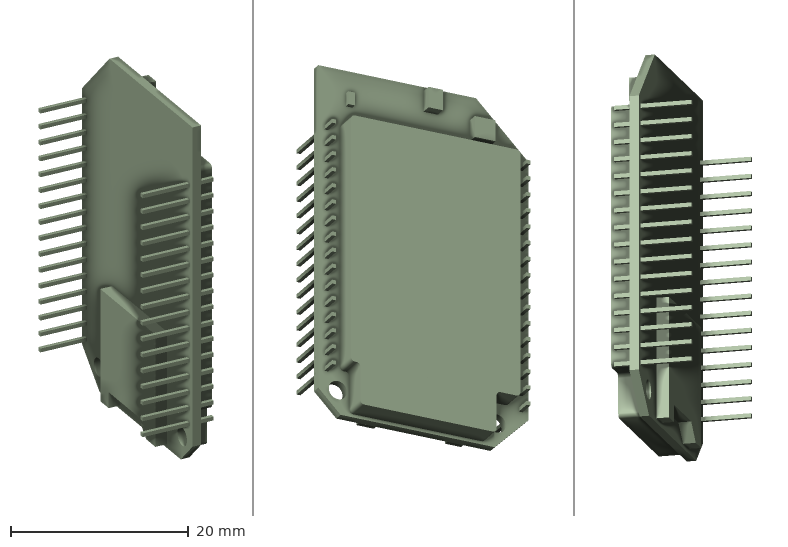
import cadquery as cq

BOARD_WIDTH = 26.4
BOARD_HEIGHT = 42.9
BOARD_THICKNESS = 1.1
BOARD_BACK = BOARD_THICKNESS
TOP_LEFT_CUT = 6.6
BOTTOM_LEFT_CUT = 4.25
BOTTOM_RIGHT_CUT = 2.8

HOLE_DIAMETER = 2.25
HOLE_Z = 3.0
LEFT_HOLE_X = 4.0
RIGHT_HOLE_X = BOARD_WIDTH - 2.45

PIN_SIZE = 0.48
PIN_PITCH = 2.0
PINS_PER_ROW = 16
PIN_EDGE_OFFSET = 1.0
LOWEST_PIN_Z = 5.3
PIN_FRONT_LENGTH = 5.95
PIN_BACK_LENGTH = 2.0

SOCKET_LEFT = 7.2
SOCKET_BOTTOM = 0.5
SOCKET_WIDTH = 13.15
SOCKET_HEIGHT = 14.1
SOCKET_DEPTH = 1.5
NOTCH_DEPTH = 2.0
NOTCH_LEFT = 2.0
NOTCH_TOP_RIGHT = 9.1
NOTCH_BOTTOM_RIGHT = 10.95

MODULE_LEFT = 2.45
MODULE_RIGHT = 23.7
MODULE_BOTTOM = 0.4
MODULE_TOP = 36.1
MODULE_DEPTH = 2.85
MODULE_CORNER_RADIUS = 0.5
MODULE_SHOULDER_Z = 5.5
HOLE_CLEARANCE = 0.3

BACK_COMPONENTS = [
    (4.85, 37.3, 2.6, 2.6, 1.45),
    (11.4, 39.85, 1.8, 2.55, 1.3),
    (22.1, 38.5, 0.85, 1.6, 0.65),
]


def block(left, bottom, width, height, back_y, front_y):
    """Rectangular block between two Y planes."""
    return (
        cq.Workplane("XY")
        .box(width, back_y - front_y, height, centered=False)
        .translate((left, front_y, bottom))
    )


def extrude_outline(points, front_y, depth):
    """Extrude a closed XZ outline from front_y towards +Y."""
    return cq.Workplane("XZ", origin=(0, front_y, 0)).polyline(points).close().extrude(-depth)


def make_board():
    outline = [
        (BOTTOM_LEFT_CUT, 0),
        (BOARD_WIDTH - BOTTOM_RIGHT_CUT, 0),
        (BOARD_WIDTH, BOTTOM_RIGHT_CUT),
        (BOARD_WIDTH, BOARD_HEIGHT),
        (TOP_LEFT_CUT, BOARD_HEIGHT),
        (0, BOARD_HEIGHT - TOP_LEFT_CUT),
        (0, BOTTOM_LEFT_CUT),
    ]
    holes = (
        cq.Workplane("XZ")
        .pushPoints([(LEFT_HOLE_X, HOLE_Z), (RIGHT_HOLE_X, HOLE_Z)])
        .circle(HOLE_DIAMETER / 2)
        .extrude(-BOARD_THICKNESS)
    )
    return extrude_outline(outline, 0, BOARD_THICKNESS).cut(holes)


def make_socket():
    right = SOCKET_LEFT + SOCKET_WIDTH
    top = SOCKET_BOTTOM + SOCKET_HEIGHT
    notch_top = SOCKET_BOTTOM + NOTCH_DEPTH
    outline = [
        (SOCKET_LEFT, SOCKET_BOTTOM),
        (SOCKET_LEFT + NOTCH_LEFT, SOCKET_BOTTOM),
        (SOCKET_LEFT + NOTCH_LEFT, notch_top),
        (SOCKET_LEFT + NOTCH_TOP_RIGHT, notch_top),
        (SOCKET_LEFT + NOTCH_BOTTOM_RIGHT, SOCKET_BOTTOM),
        (right, SOCKET_BOTTOM),
        (right, top),
        (SOCKET_LEFT, top),
    ]
    return extrude_outline(outline, -SOCKET_DEPTH, SOCKET_DEPTH)


def make_module():
    clearance = HOLE_DIAMETER / 2 + HOLE_CLEARANCE
    lower_left = LEFT_HOLE_X + clearance
    lower_right = RIGHT_HOLE_X - clearance
    outline = [
        (lower_left, MODULE_BOTTOM),
        (lower_right, MODULE_BOTTOM),
        (lower_right, MODULE_SHOULDER_Z),
        (MODULE_RIGHT, MODULE_SHOULDER_Z),
        (MODULE_RIGHT, MODULE_TOP),
        (MODULE_LEFT, MODULE_TOP),
        (MODULE_LEFT, MODULE_SHOULDER_Z),
        (lower_left, MODULE_SHOULDER_Z),
    ]
    module = extrude_outline(outline, BOARD_BACK, MODULE_DEPTH)
    return module.edges("|Y").fillet(MODULE_CORNER_RADIUS)


def make_pins():
    centres = [
        (x, LOWEST_PIN_Z + i * PIN_PITCH)
        for x in (PIN_EDGE_OFFSET, BOARD_WIDTH - PIN_EDGE_OFFSET)
        for i in range(PINS_PER_ROW)
    ]
    length = PIN_FRONT_LENGTH + BOARD_THICKNESS + PIN_BACK_LENGTH
    return (
        cq.Workplane("XZ", origin=(0, -PIN_FRONT_LENGTH, 0))
        .pushPoints(centres)
        .rect(PIN_SIZE, PIN_SIZE)
        .extrude(-length)
    )


result = make_board().union(make_socket()).union(make_module()).union(make_pins())
for left, bottom, width, height, depth in BACK_COMPONENTS:
    result = result.union(block(left, bottom, width, height, BOARD_BACK + depth, BOARD_BACK))